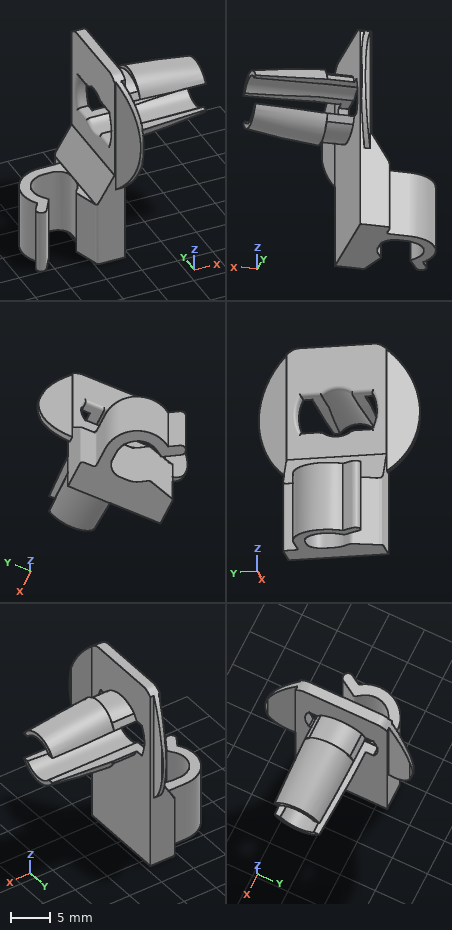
import cadquery as cq
import math

HEIGHT = 28.0
HALF_WIDTH = 6.52
PLATE_THICK = 1.5
BLOCK_DEPTH = 4.0
BLOCK_HEIGHT = 9.02
SLOPE_TOP = 13.05
BLOCK_EDGE_RADIUS = 0.4

AXIS_Z = 19.05
FLANGE_RADIUS = 10.5
TOP_CORNER_RADIUS = 1.85
WING_ROOT_FRONT = -1.32
WING_ROOT_BACK = -0.53
WING_TIP_FRONT = 0.35
WING_TIP_BACK = 0.75
WING_TIP_LAND = 0.42

HOLE_RADIUS = 5.18
HOLE_HALF_HEIGHT = 2.4
BORE_RADIUS = 3.1
HOLE_EDGE_RADIUS = 0.5

NECK_RADIUS = 4.42
NECK_SHOULDER = 2.9
HEAD_START = 3.53
HEAD_SECTIONS = [
    (HEAD_START, 5.05, 2.4, 3.47),
    (7.78, 4.62, 2.18, 3.4),
    (12.95, 3.78, 2.0, 3.2),
]

CLIP_RADIUS = 3.0
CLIP_THICK = 1.5
CLIP_X = -BLOCK_DEPTH - CLIP_RADIUS
CLIP_OUTER_RADIUS = CLIP_RADIUS + CLIP_THICK
CLIP_INNER_END_ANGLE = 218.0
CLIP_OUTER_END_ANGLE = 216.0
LIP_ANGLE = -30.0
CLIP_ROOT_RADIUS = 0.4
CLIP_CORNER_RADIUS = 1.95
HOOK_NOSE = [(-9.07, -2.27), (-8.95, -2.52), (-9.07, -2.77)]
LIP_NOSE = [(-5.0, -2.4), (-5.1, -2.65), (-5.05, -2.95)]
TIP_RADIUS = 0.7
TIP_CENTRE = (-10.85, -4.3)
TIP_LEAN = 32.0
OVERLAP = 0.28
MARGIN = 0.03


def polar(centre, radius, degrees):
    angle = math.radians(degrees)
    return (centre[0] + radius * math.cos(angle), centre[1] + radius * math.sin(angle))


def axial_cylinder(radius, start, end):
    """Cylinder along X on the fastener axis."""
    plane = cq.Workplane("YZ", origin=(start, 0, AXIS_Z))
    return plane.circle(radius).extrude(end - start)


def make_body():
    """Plate with a thicker block below it, joined by a sloping face."""
    block = (
        cq.Workplane("XZ", origin=(0, HALF_WIDTH, 0))
        .polyline([
            (0, 0),
            (-BLOCK_DEPTH, 0),
            (-BLOCK_DEPTH, BLOCK_HEIGHT),
            (-PLATE_THICK, SLOPE_TOP),
            (0, SLOPE_TOP),
        ])
        .close()
        .extrude(2 * HALF_WIDTH)
        .edges("|Z and <X")
        .fillet(BLOCK_EDGE_RADIUS)
    )
    plate = (
        cq.Workplane("XY")
        .box(PLATE_THICK, 2 * HALF_WIDTH, HEIGHT - AXIS_Z, centered=(False, True, False))
        .translate((-PLATE_THICK, 0, AXIS_Z))
        .intersect(axial_cylinder(FLANGE_RADIUS, -PLATE_THICK, 0))
        .edges("|X and >Z")
        .fillet(TOP_CORNER_RADIUS)
    )
    middle = (
        cq.Workplane("XY")
        .box(PLATE_THICK, 2 * HALF_WIDTH, AXIS_Z - BLOCK_HEIGHT, centered=(False, True, False))
        .translate((-PLATE_THICK, 0, BLOCK_HEIGHT))
    )
    return block.union(middle).union(plate)


def make_wings():
    """Flat wings swept back from both sides of the plate, trimmed round."""
    wing = (
        cq.Workplane("XY", origin=(0, 0, AXIS_Z - FLANGE_RADIUS))
        .polyline([
            (WING_ROOT_FRONT, HALF_WIDTH - OVERLAP),
            (WING_ROOT_FRONT, HALF_WIDTH),
            (WING_TIP_FRONT, FLANGE_RADIUS),
            (WING_TIP_BACK, FLANGE_RADIUS),
            (WING_TIP_BACK, FLANGE_RADIUS - WING_TIP_LAND),
            (WING_ROOT_BACK, HALF_WIDTH),
            (WING_ROOT_BACK, HALF_WIDTH - OVERLAP),
        ])
        .close()
        .extrude(2 * FLANGE_RADIUS)
    )
    half_chord = math.sqrt(FLANGE_RADIUS**2 - HALF_WIDTH**2)
    trim = axial_cylinder(FLANGE_RADIUS, -PLATE_THICK, WING_TIP_BACK).intersect(
        cq.Workplane("XY", origin=(0, 0, AXIS_Z)).box(
            2 * BLOCK_DEPTH, 2 * FLANGE_RADIUS, 2 * half_chord
        )
    )
    wing = wing.intersect(trim)
    return wing.union(wing.mirror("XZ"))


def make_hole():
    """Flat-sided round hole with a taller round bore across its middle."""
    slot = axial_cylinder(HOLE_RADIUS, -PLATE_THICK, 0).intersect(
        cq.Workplane("XY", origin=(0, 0, AXIS_Z)).box(
            2 * PLATE_THICK, 2 * HOLE_RADIUS, 2 * HOLE_HALF_HEIGHT
        )
    )
    return slot.union(axial_cylinder(BORE_RADIUS, -PLATE_THICK, 0))


def round_hole_edge(body):
    """Round the rim of the hole where it meets the plate front."""
    rim = cq.selectors.BoxSelector(
        (-PLATE_THICK - MARGIN, -HOLE_RADIUS - MARGIN, AXIS_Z - BORE_RADIUS - MARGIN),
        (-PLATE_THICK + MARGIN, HOLE_RADIUS + MARGIN, AXIS_Z + BORE_RADIUS + MARGIN),
    )
    return body.edges(rim).fillet(HOLE_EDGE_RADIUS)


def leg_section(x, outer, flat, half_width):
    """Wire of one leg: a flat inner side under a round outer side."""
    return (
        cq.Workplane("YZ", origin=(x, 0, AXIS_Z))
        .moveTo(-half_width, flat)
        .threePointArc((0, outer), (half_width, flat))
        .close()
    )


def make_legs():
    """Two opposed legs with slim necks and tapering heads."""
    wires = [leg_section(*section).wires().val() for section in HEAD_SECTIONS]
    head = cq.Workplane(cq.Solid.makeLoft(wires))
    leg_end, _, _, _ = HEAD_SECTIONS[-1]
    _, _, flat, half_width = HEAD_SECTIONS[0]
    shoulder_height = math.sqrt(NECK_RADIUS**2 - NECK_SHOULDER**2)
    neck = (
        cq.Workplane("YZ", origin=(-OVERLAP, 0, AXIS_Z))
        .moveTo(-half_width, flat)
        .lineTo(-NECK_SHOULDER, shoulder_height)
        .threePointArc((0, NECK_RADIUS), (NECK_SHOULDER, shoulder_height))
        .lineTo(half_width, flat)
        .close()
        .extrude(HEAD_START + OVERLAP)
    )
    leg = neck.union(head).cut(axial_cylinder(BORE_RADIUS, -OVERLAP, leg_end))
    opposite = leg.rotate((0, 0, AXIS_Z), (1, 0, AXIS_Z), 180)
    return leg.union(opposite)


def make_clip():
    """Open hook with a turned-out tip, and the lip facing it."""
    centre = (CLIP_X, 0)
    root_x = -BLOCK_DEPTH + OVERLAP
    hook = (
        cq.Workplane("XY")
        .moveTo(root_x, CLIP_OUTER_RADIUS + CLIP_ROOT_RADIUS)
        .lineTo(-BLOCK_DEPTH, CLIP_OUTER_RADIUS + CLIP_ROOT_RADIUS)
        .radiusArc((-BLOCK_DEPTH - CLIP_ROOT_RADIUS, CLIP_OUTER_RADIUS), CLIP_ROOT_RADIUS)
        .lineTo(CLIP_X, CLIP_OUTER_RADIUS)
        .threePointArc(
            polar(centre, CLIP_OUTER_RADIUS, 150),
            polar(centre, CLIP_OUTER_RADIUS, CLIP_OUTER_END_ANGLE),
        )
        .lineTo(*polar(TIP_CENTRE, TIP_RADIUS, 180 - TIP_LEAN))
        .threePointArc(
            polar(TIP_CENTRE, TIP_RADIUS, 270 - TIP_LEAN),
            polar(TIP_CENTRE, TIP_RADIUS, -TIP_LEAN),
        )
        .lineTo(*HOOK_NOSE[2])
        .threePointArc(HOOK_NOSE[1], HOOK_NOSE[0])
        .lineTo(*polar(centre, CLIP_RADIUS, CLIP_INNER_END_ANGLE))
        .threePointArc(
            polar(centre, CLIP_RADIUS, 150),
            polar(centre, CLIP_RADIUS, 90),
        )
        .lineTo(-BLOCK_DEPTH - CLIP_CORNER_RADIUS, CLIP_RADIUS)
        .radiusArc((-BLOCK_DEPTH, CLIP_RADIUS - CLIP_CORNER_RADIUS), CLIP_CORNER_RADIUS)
        .lineTo(-BLOCK_DEPTH, 0)
        .threePointArc(
            polar(centre, CLIP_RADIUS, LIP_ANGLE / 2),
            polar(centre, CLIP_RADIUS, LIP_ANGLE),
        )
        .lineTo(*LIP_NOSE[0])
        .threePointArc(LIP_NOSE[1], LIP_NOSE[2])
        .lineTo(-BLOCK_DEPTH, -HALF_WIDTH + BLOCK_EDGE_RADIUS)
        .lineTo(root_x, -HALF_WIDTH + BLOCK_EDGE_RADIUS)
        .close()
    )
    return hook.extrude(BLOCK_HEIGHT)


body = round_hole_edge(make_body().cut(make_hole()))
result = body.union(make_wings()).union(make_legs()).union(make_clip())